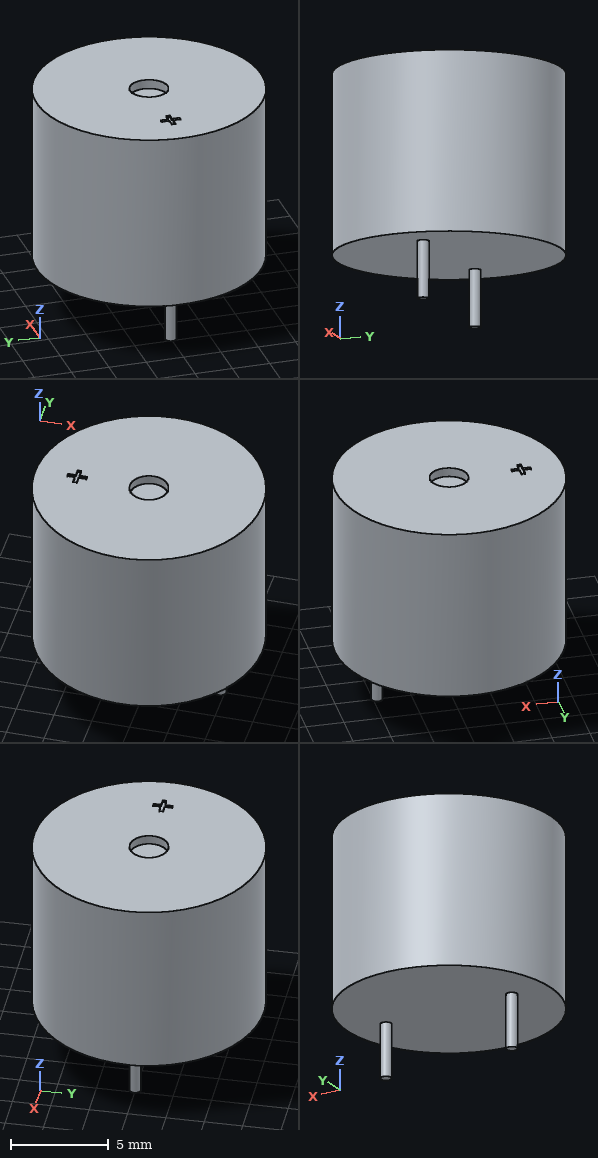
import cadquery as cq

body_diameter = 12.0
body_height = 9.5

pin_diameter = 0.6
pin_length = 3.0
pin_spacing = 7.6

sound_hole_diameter = 2.0
sound_hole_depth = 0.5

plus_size = 1.0
plus_stroke = 0.2
plus_depth = 0.1

pin_x = pin_spacing / 2


def make_body():
    return cq.Workplane("XY").circle(body_diameter / 2).extrude(body_height)


def make_pins():
    return (
        cq.Workplane("XY")
        .pushPoints([(-pin_x, 0), (pin_x, 0)])
        .circle(pin_diameter / 2)
        .extrude(-pin_length)
    )


def top_recess_plane(depth):
    return cq.Workplane("XY").workplane(offset=body_height - depth)


def make_sound_hole():
    return top_recess_plane(sound_hole_depth).circle(sound_hole_diameter / 2).extrude(sound_hole_depth)


def make_plus_sign():
    plane = top_recess_plane(plus_depth).center(-pin_x, 0)
    bar_along_x = plane.rect(plus_size, plus_stroke).extrude(plus_depth)
    bar_along_y = plane.rect(plus_stroke, plus_size).extrude(plus_depth)
    return bar_along_x.union(bar_along_y)


result = make_body().union(make_pins()).cut(make_sound_hole()).cut(make_plus_sign())